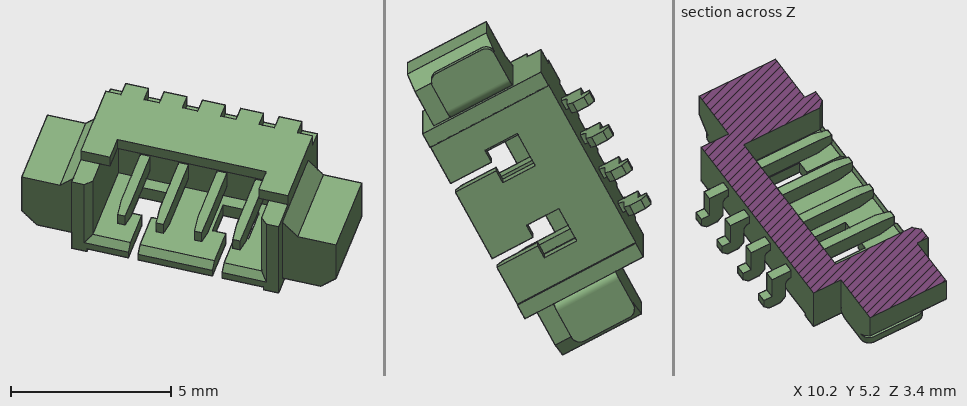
import cadquery as cq

HOUSING_WIDTH = 6.75
HOUSING_DEPTH = 4.2
HOUSING_HEIGHT = 3.4
ROOF_THICKNESS = 0.4
ROOF_DEPTH = 3.2
ROOF_CUTOUT_WIDTH = 4.85
ROOF_CUTOUT_REAR_Y = -2.4
FOOT_WIDTH = 0.5
FOOT_HEIGHT = 0.12
NOTCH_SIZE = 0.5

CAVITY_WIDTH = 5.5
CAVITY_FLOOR_Z = 0.6
CAVITY_REAR_Y = -1.2
MOUTH_BEVEL = 0.22
FLOOR_SLOT_WIDTH = 0.31
FLOOR_SLOT_X = 1.37
WINDOW_WIDTH = 1.18
WINDOW_FRONT_Y = -2.75
WINDOW_REAR_Y = -1.6

PIN_COUNT = 4
PIN_PITCH = 1.25
PIN_WIDTH = 0.32
PIN_BOTTOM_Z = 1.03
PIN_TOP_Z = 1.65
PIN_TIP_Y = -3.8
PIN_TAPER_LENGTH = 0.53
PIN_TIP_WIDTH = 0.24
PIN_TIP_HEIGHT = 0.4
TAIL_LENGTH = 1.0
TAIL_TOP_Z = 1.38
TAIL_LEG_REAR_Y = 0.7
TAIL_LEG_FRONT_Y = 0.2
TAIL_TOE_Z = 0.52
TAIL_CHAMFER = 0.2
TAIL_BEND_RADIUS = 0.2

OVERALL_WIDTH = 10.25
WING_BOTTOM_Z = 0.28
WING_TOP_Z = 2.3
WING_CHAMFER = 0.5
WING_FRONT_Y = -3.8
WING_REAR_Y = -1.0
TAB_OUTER_X = 4.88
TAB_FRONT_Y = -3.2
TAB_CORNER_RADIUS = 0.3
TAB_BEND_RADIUS = 0.27

ROOF_BOTTOM_Z = HOUSING_HEIGHT - ROOF_THICKNESS
HALF_WIDTH = HOUSING_WIDTH / 2
PIN_POSITIONS = [(i - (PIN_COUNT - 1) / 2) * PIN_PITCH for i in range(PIN_COUNT)]


def block(x_range, y_range, z_range):
    """Box spanning the given (low, high) ranges."""
    size = [high - low for low, high in (x_range, y_range, z_range)]
    return cq.Workplane("XY").box(*size, centered=False).translate((x_range[0], y_range[0], z_range[0]))


def centred_block(x_centre, width, y_range, z_range):
    """Box of the given width placed symmetrically about x_centre."""
    return block((x_centre - width / 2, x_centre + width / 2), y_range, z_range)


def mirrored_pair(shape):
    """The shape together with its mirror image across X = 0."""
    return shape.union(shape.mirror("YZ"))


def make_shell():
    """Housing block with stepped roof, rear notches and two feet."""
    shell = centred_block(0, HOUSING_WIDTH, (-HOUSING_DEPTH, 0), (0, HOUSING_HEIGHT))
    roof_z = (ROOF_BOTTOM_Z, HOUSING_HEIGHT)
    shell = shell.cut(centred_block(0, HOUSING_WIDTH, (-HOUSING_DEPTH, -ROOF_DEPTH), roof_z))
    shell = shell.cut(centred_block(0, ROOF_CUTOUT_WIDTH, (-ROOF_DEPTH, ROOF_CUTOUT_REAR_Y), roof_z))
    corner_notch_x = HALF_WIDTH - NOTCH_SIZE / 2
    for x in [-corner_notch_x, *PIN_POSITIONS, corner_notch_x]:
        shell = shell.cut(centred_block(x, NOTCH_SIZE, (-NOTCH_SIZE, 0), roof_z))
    underside_width = HOUSING_WIDTH - 2 * FOOT_WIDTH
    return shell.cut(centred_block(0, underside_width, (-HOUSING_DEPTH, 0), (0, FOOT_HEIGHT)))


def make_cavity():
    """Mating cavity with its bevelled mouth."""
    depth_range = (-HOUSING_DEPTH, CAVITY_REAR_Y)
    cavity = centred_block(0, CAVITY_WIDTH, depth_range, (CAVITY_FLOOR_Z, ROOF_BOTTOM_Z))
    height = ROOF_BOTTOM_Z - CAVITY_FLOOR_Z
    mouth_centre_z = (ROOF_BOTTOM_Z + CAVITY_FLOOR_Z) / 2
    mouth = (
        cq.Workplane("XZ", origin=(0, -HOUSING_DEPTH, mouth_centre_z))
        .rect(CAVITY_WIDTH + 2 * MOUTH_BEVEL, height + 2 * MOUTH_BEVEL)
        .workplane(offset=-MOUTH_BEVEL)
        .rect(CAVITY_WIDTH, height)
        .loft(ruled=True)
    )
    return cavity.union(mouth)


def make_floor_openings():
    """Two slots through the floor, each widening into a window at its rear."""
    through_floor = (0, CAVITY_FLOOR_Z)
    slot = centred_block(FLOOR_SLOT_X, FLOOR_SLOT_WIDTH, (-HOUSING_DEPTH, WINDOW_FRONT_Y), through_floor)
    window = centred_block(FLOOR_SLOT_X, WINDOW_WIDTH, (WINDOW_FRONT_Y, WINDOW_REAR_Y), through_floor)
    return mirrored_pair(slot.union(window))


def make_wing():
    """Wing on the +X side with its solder tab."""
    outer_x = OVERALL_WIDTH / 2
    wing = (
        cq.Workplane("XZ", origin=(0, WING_REAR_Y, 0))
        .moveTo(HALF_WIDTH, WING_BOTTOM_Z)
        .lineTo(outer_x - WING_CHAMFER, WING_BOTTOM_Z)
        .lineTo(outer_x, WING_BOTTOM_Z + WING_CHAMFER)
        .lineTo(outer_x, WING_TOP_Z)
        .lineTo(HALF_WIDTH + WING_CHAMFER, WING_TOP_Z)
        .lineTo(HALF_WIDTH, WING_TOP_Z + WING_CHAMFER)
        .close()
        .extrude(WING_REAR_Y - WING_FRONT_Y)
    )
    tab = block((HALF_WIDTH, TAB_OUTER_X), (TAB_FRONT_Y, WING_REAR_Y), (0, WING_BOTTOM_Z))
    tab = tab.edges("|Z and >X").fillet(TAB_CORNER_RADIUS)
    tab = tab.edges("<X and <Z").fillet(TAB_BEND_RADIUS)
    return wing.union(tab)


def make_pin(x):
    """Contact with a tapered tip in the cavity and a bent solder tail behind."""
    taper_start_y = PIN_TIP_Y + PIN_TAPER_LENGTH
    shaft = centred_block(x, PIN_WIDTH, (taper_start_y, CAVITY_REAR_Y), (PIN_BOTTOM_Z, PIN_TOP_Z))
    tip = (
        cq.Workplane("XZ", origin=(x, taper_start_y, (PIN_BOTTOM_Z + PIN_TOP_Z) / 2))
        .rect(PIN_WIDTH, PIN_TOP_Z - PIN_BOTTOM_Z)
        .workplane(offset=PIN_TAPER_LENGTH)
        .rect(PIN_TIP_WIDTH, PIN_TIP_HEIGHT)
        .loft(ruled=True)
    )
    tail = (
        cq.Workplane("YZ", origin=(x - PIN_WIDTH / 2, 0, 0))
        .moveTo(CAVITY_REAR_Y, TAIL_TOP_Z)
        .lineTo(TAIL_LEG_REAR_Y, TAIL_TOP_Z)
        .lineTo(TAIL_LEG_REAR_Y, TAIL_TOE_Z)
        .lineTo(TAIL_LENGTH, TAIL_TOE_Z)
        .lineTo(TAIL_LENGTH, TAIL_CHAMFER)
        .lineTo(TAIL_LENGTH - TAIL_CHAMFER, 0)
        .lineTo(TAIL_LEG_FRONT_Y + TAIL_CHAMFER, 0)
        .lineTo(TAIL_LEG_FRONT_Y, TAIL_CHAMFER)
        .lineTo(TAIL_LEG_FRONT_Y, PIN_BOTTOM_Z - TAIL_BEND_RADIUS)
        .radiusArc((TAIL_LEG_FRONT_Y - TAIL_BEND_RADIUS, PIN_BOTTOM_Z), -TAIL_BEND_RADIUS)
        .lineTo(CAVITY_REAR_Y, PIN_BOTTOM_Z)
        .close()
        .extrude(PIN_WIDTH)
    )
    return shaft.union(tip).union(tail)


result = make_shell().cut(make_cavity()).cut(make_floor_openings())
result = result.union(mirrored_pair(make_wing()))
for pin_x in PIN_POSITIONS:
    result = result.union(make_pin(pin_x))